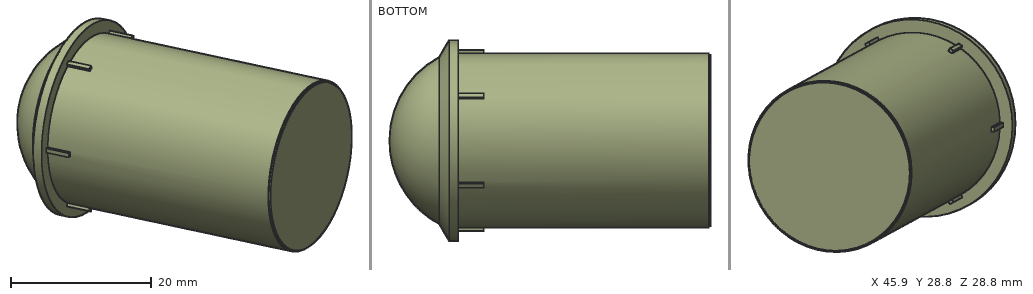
import cadquery as cq
import math

total_length = 45.9
dome_height = 7.1
cone_end = 8.55
flange_end = 9.85
lip_length = 0.28
barrel_end = total_length - lip_length

dome_base_radius = 11.95
flange_radius = 28.75 / 2
barrel_radius = 25.0 / 2
lip_radius = 12.25

rib_count = 6
rib_length = 3.65
rib_width = 0.65
rib_top_radius = 12.95
rib_root_radius = barrel_radius - 0.45


def make_body():
    """Domed, flanged barrel revolved about the X axis."""
    sphere_radius = (dome_height**2 + dome_base_radius**2) / (2 * dome_height)
    half_angle = math.asin(dome_base_radius / sphere_radius) / 2
    dome_middle = (
        sphere_radius * (1 - math.cos(half_angle)),
        sphere_radius * math.sin(half_angle),
    )
    profile = (
        cq.Workplane("XY")
        .moveTo(0, 0)
        .threePointArc(dome_middle, (dome_height, dome_base_radius))
        .lineTo(cone_end, flange_radius)
        .lineTo(flange_end, flange_radius)
        .lineTo(flange_end, barrel_radius)
        .lineTo(barrel_end, barrel_radius)
        .lineTo(barrel_end, lip_radius)
        .lineTo(total_length, lip_radius)
        .lineTo(total_length, 0)
        .close()
    )
    return profile.revolve(360, (0, 0, 0), (1, 0, 0))


def make_rib(angle):
    """One rib, turned about X from the +Y direction and sunk slightly into the barrel."""
    rib = cq.Workplane("XY").box(
        rib_length,
        rib_top_radius - rib_root_radius,
        rib_width,
        centered=(False, False, True),
    )
    return rib.translate((flange_end, rib_root_radius, 0)).rotate((0, 0, 0), (1, 0, 0), angle)


result = make_body()
for index in range(rib_count):
    result = result.union(make_rib(index * 360 / rib_count))